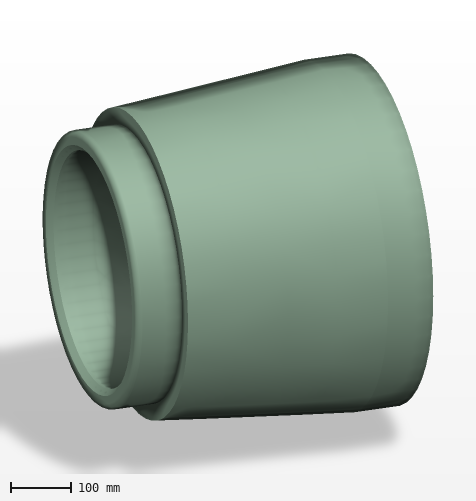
import cadquery as cq

length = 500.0
body_diameter = 590.0
rear_band_length = 79.5
shoulder_diameter = 524.5

spigot_diameter = 468.0
spigot_length = 79.5
rim_radius = 10.0
mouth_chamfer = 10.0

mouth_diameter = 400.0
mouth_depth = spigot_length
outlet_diameter = 225.0
outlet_offset = (mouth_diameter - outlet_diameter) / 2

spigot_face_y = -length / 2
shoulder_y = spigot_face_y + spigot_length
mouth_end_y = spigot_face_y + mouth_depth
rear_face_y = length / 2
rear_band_y = rear_face_y - rear_band_length


def make_body():
    """Revolve the solid outer shape: spigot, tapered middle and straight rear band."""
    profile = (
        cq.Workplane("XY")
        .moveTo(0, spigot_face_y)
        .lineTo(spigot_diameter / 2, spigot_face_y)
        .lineTo(spigot_diameter / 2, shoulder_y)
        .lineTo(shoulder_diameter / 2, shoulder_y)
        .lineTo(body_diameter / 2, rear_band_y)
        .lineTo(body_diameter / 2, rear_face_y)
        .lineTo(0, rear_face_y)
        .close()
    )
    return profile.revolve(360, (0, 0), (0, 1))


def plane_at(y):
    """Plane across the axis at y, with local x along X, local y along Z and normal along -Y."""
    return cq.Workplane("XZ", origin=(0, y, 0))


def make_mouth():
    """Straight round bore inside the spigot."""
    return plane_at(mouth_end_y).circle(mouth_diameter / 2).extrude(mouth_depth)


def make_funnel():
    """Passage blending from the round mouth to the lowered outlet in the rear face."""
    funnel_length = rear_face_y - mouth_end_y
    return (
        plane_at(rear_face_y)
        .center(0, -outlet_offset)
        .circle(outlet_diameter / 2)
        .workplane(offset=funnel_length)
        .center(0, outlet_offset)
        .circle(mouth_diameter / 2)
        .loft(ruled=True)
    )


result = make_body().cut(make_mouth()).cut(make_funnel())

outer_edge = cq.selectors.RadiusNthSelector(-1)
inner_edge = cq.selectors.RadiusNthSelector(0)
result = result.faces("<Y").edges(outer_edge).fillet(rim_radius)
result = result.faces("<Y").edges(inner_edge).chamfer(mouth_chamfer)